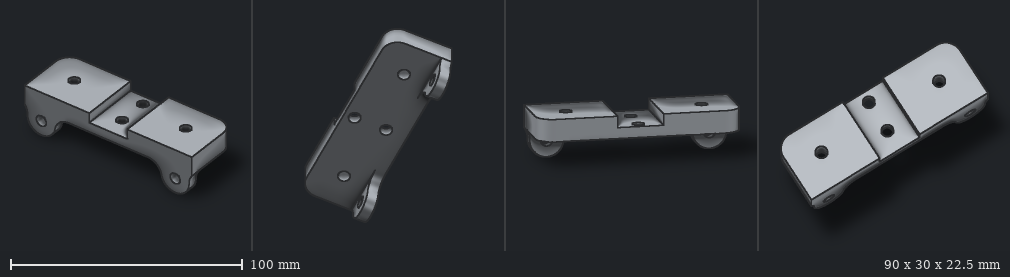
import cadquery as cq
import math

length = 90.0
width = 30.0
height = 22.5
plate_thickness = 10.0
corner_radius = 7.5
channel_width = 20.3
channel_depth = 5.0

hole_diameter = 5.3
outer_hole_x = 30.0
outer_hole_y = 15.75
center_hole_ys = (10.0, 25.0)

lug_x = 36.0
lug_radius = 7.5
lug_thickness = 5.0
blend_radius = 7.5

lug_z = lug_radius
plate_bottom = height - plate_thickness


def make_plate():
    plate = cq.Workplane("XY").box(length, width, plate_thickness, centered=(True, False, False))
    plate = plate.edges("|Z and >Y").fillet(corner_radius)
    plate = plate.translate((0, 0, plate_bottom))
    channel = cq.Workplane("XY").box(channel_width, width, channel_depth, centered=(True, False, False))
    return plate.cut(channel.translate((0, 0, height - channel_depth)))


def make_right_lug():
    """Rounded lug whose concave arcs run into the underside and the end face of the plate."""
    reach = lug_radius + blend_radius

    inner_z = plate_bottom - blend_radius
    inner_x = lug_x - math.sqrt(reach**2 - (inner_z - lug_z) ** 2)
    inner_angle = math.atan2(inner_z - lug_z, inner_x - lug_x)
    inner_tangent = (lug_x + lug_radius * math.cos(inner_angle), lug_z + lug_radius * math.sin(inner_angle))
    inner_mid_angle = (math.pi / 2 + inner_angle + math.pi) / 2
    inner_mid = (
        inner_x + blend_radius * math.cos(inner_mid_angle),
        inner_z + blend_radius * math.sin(inner_mid_angle),
    )

    outer_x = lug_x + lug_radius
    outer_run = length / 2 - outer_x
    outer_rise = math.sqrt(blend_radius**2 - (blend_radius - outer_run) ** 2)
    outer_tangent = (outer_x, plate_bottom - outer_rise)
    end_corner = (length / 2, plate_bottom)

    profile = (
        cq.Workplane("XZ")
        .moveTo(inner_x, plate_bottom)
        .threePointArc(inner_mid, inner_tangent)
        .threePointArc((lug_x, lug_z - lug_radius), (outer_x, lug_z))
        .lineTo(*outer_tangent)
        .tangentArcPoint(end_corner, relative=False)
        .close()
    )
    return profile.extrude(-lug_thickness)


def drill_holes(body):
    places = [(side * outer_hole_x, outer_hole_y) for side in (-1, 1)]
    places += [(0, y) for y in center_hole_ys]
    plate_holes = cq.Workplane("XY").pushPoints(places).circle(hole_diameter / 2).extrude(height)
    lug_holes = (
        cq.Workplane("XZ")
        .pushPoints([(-lug_x, lug_z), (lug_x, lug_z)])
        .circle(hole_diameter / 2)
        .extrude(-lug_thickness)
    )
    return body.cut(plate_holes).cut(lug_holes)


right_lug = make_right_lug()
left_lug = right_lug.mirror("YZ")
result = drill_holes(make_plate().union(right_lug).union(left_lug))